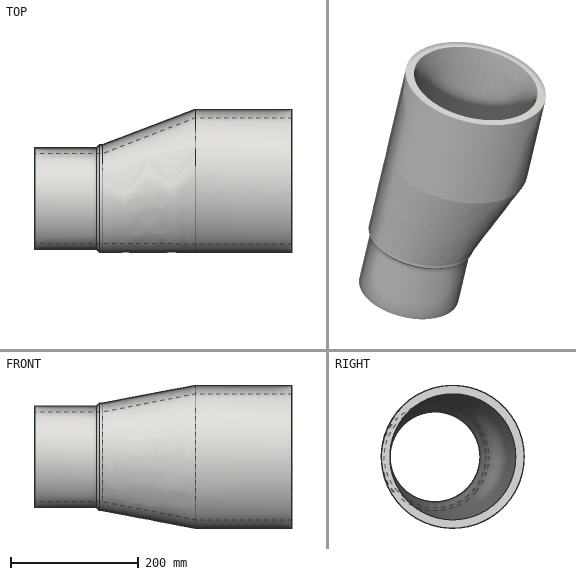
import cadquery as cq

total_length = 404.0
large_diameter = 225.0
small_diameter = 160.0
small_bore = 141.0
collar_diameter = 169.3

collar_start = 97.0
chamfer_length = 5.0
cone_start = 106.3
cone_end = 252.5

large_bore = large_diameter * small_bore / small_diameter

small_axis_y = -(large_diameter - collar_diameter) / 2


def cylinder(start, end, diameter, axis_y):
    """Cylinder along X between two stations."""
    plane = cq.Workplane("YZ", origin=(start, axis_y, 0))
    return plane.circle(diameter / 2).extrude(end - start)


def transition(start, end, start_diameter, end_diameter, start_y, end_y):
    """Ruled solid joining two circles whose centres may be offset in Y."""
    return (
        cq.Workplane("YZ", origin=(start, 0, 0))
        .center(start_y, 0)
        .circle(start_diameter / 2)
        .workplane(offset=end - start)
        .center(end_y - start_y, 0)
        .circle(end_diameter / 2)
        .loft(ruled=True)
    )


chamfer_end = collar_start + chamfer_length
small_pipe = cylinder(0, collar_start, small_diameter, small_axis_y)
collar_chamfer = transition(
    collar_start, chamfer_end, small_diameter, collar_diameter, small_axis_y, small_axis_y
)
collar = cylinder(chamfer_end, cone_start, collar_diameter, small_axis_y)
outer_cone = transition(cone_start, cone_end, collar_diameter, large_diameter, small_axis_y, 0)
large_pipe = cylinder(cone_end, total_length, large_diameter, 0)
body = small_pipe.union(collar_chamfer).union(collar).union(outer_cone).union(large_pipe)

small_passage = cylinder(0, cone_start, small_bore, small_axis_y)
cone_passage = transition(cone_start, cone_end, small_bore, large_bore, small_axis_y, 0)
large_passage = cylinder(cone_end, total_length, large_bore, 0)

result = body.cut(small_passage).cut(cone_passage).cut(large_passage)